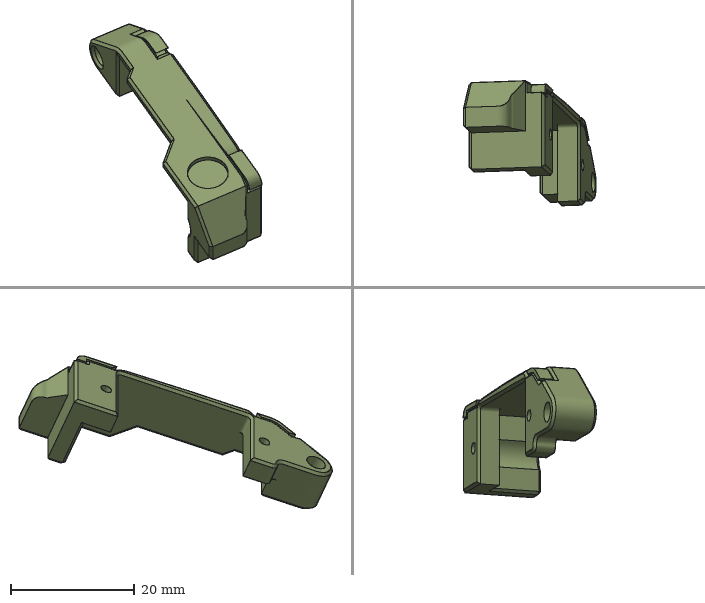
import cadquery as cq
import math

LENGTH = 50.0
DEPTH = 12.5
HEIGHT = 14.3
EDGE_CHAMFER = 0.45

PIVOT_RADIUS = 3.0
PIVOT_X = PIVOT_RADIUS
PIVOT_Z = 5.1
PIVOT_BORE = 3.2
ARM_END_X = 9.75
ARM_BOTTOM_Z = PIVOT_Z - PIVOT_RADIUS

BEND_RADIUS = 4.0
BEND_X = 11.1
BEND_Z = HEIGHT - BEND_RADIUS

PLATE_UNDERSIDE_Z = 12.6
ARM_FRONT_Y = 4.95
MIDDLE_FRONT_Y = 3.45
ARM_FRONT_END_X = 14.25
MIDDLE_FRONT_END_X = 30.6
DISC_RECESS_DIAMETER = 6.6
DISC_RECESS_DEPTH = 0.75
DISC_RECESS_Y = 5.25

BLOCK_START_X = 42.0
BLOCK_END_X = 45.0
LUG_BOTTOM_Z = 6.0
LUG_SLOPE_DROP = LENGTH - BLOCK_END_X
LUG_BACK_Y = 9.35
LUG_TIP_BACK_Y = 7.5
LUG_SLANT_END = (47.5, 7.85)
LUG_CORNER_RADIUS = 1.7

LEG_FRONT_Y = 8.8
LEFT_LEG_START_X = 9.55
LEFT_LEG_END_X = 14.3
RIGHT_LEG_START_X = 37.4
LEG_FOOT_RADIUS = ARM_BOTTOM_Z / 2
LEG_FILLET = 0.55
SCREW_HOLE_DIAMETER = 1.8
SCREW_Z = 6.3
LEFT_SCREW_X = 12.0
RIGHT_SCREW_X = 39.6
GROOVE_RADIUS = 3.3

RECESS_FRONT_Y = 9.65
RECESS_RIM_CHAMFER = 0.4
RECESS_DEPTH = 1.1
INSERT_FRONT_Y = 10.2
INSERT_SINK = 0.35
OVERCUT = 0.5
ARM_RECESS_START_X = 5.6
ARM_RECESS_END_X = 14.75
ARM_INSERT_START_X = 6.6
ARM_INSERT_END_X = 13.25
ARM_WALL_RUN = 1.3
ARM_WALL_BULGE = 0.1
END_RAMP_START_X = 24.55
END_RAMP_END_X = 35.85
END_RAMP_DROP = 0.3
END_WALL_RUN = 2.3
END_WALL_BULGE = 0.2
END_INSERT_START_X = 37.75
NOSE_START_X = 43.0
NOSE_RADIUS = 1.65
NOSE_DEPTH = INSERT_SINK + NOSE_RADIUS
LUG_BLEND_Y = 9.25

center_distance = math.hypot(BEND_X - PIVOT_X, BEND_Z - PIVOT_Z)
SLOPE = (math.atan2(BEND_Z - PIVOT_Z, BEND_X - PIVOT_X)
         + math.asin((BEND_RADIUS - PIVOT_RADIUS) / center_distance))
ALONG = (math.cos(SLOPE), math.sin(SLOPE))
OUTWARD = (-math.sin(SLOPE), math.cos(SLOPE))
TOLERANCE = 0.025


def on_circle(x, z, radius, angle):
    """Point of an XZ circle at an angle measured from +X."""
    return (x + radius * math.cos(angle), z + radius * math.sin(angle))


SLOPE_NORMAL = SLOPE + math.pi / 2
SLOPE_START = on_circle(PIVOT_X, PIVOT_Z, PIVOT_RADIUS, SLOPE_NORMAL)
SLOPE_END = on_circle(BEND_X, BEND_Z, BEND_RADIUS, SLOPE_NORMAL)
BEND_MIDDLE = on_circle(BEND_X, BEND_Z, BEND_RADIUS, (SLOPE_NORMAL + math.pi / 2) / 2)


def slope_point(x, depth):
    """Point below the sloping surface that has the given X on the offset line at that depth."""
    along = (x - SLOPE_START[0] + depth * OUTWARD[0]) / ALONG[0]
    return (
        SLOPE_START[0] + along * ALONG[0] - depth * OUTWARD[0],
        SLOPE_START[1] + along * ALONG[1] - depth * OUTWARD[1],
    )


def move_on_slope(point, along, outward):
    """Move an XZ point along the slope and away from the sloping surface."""
    return (
        point[0] + along * ALONG[0] + outward * OUTWARD[0],
        point[1] + along * ALONG[1] + outward * OUTWARD[1],
    )


def extrude_side(sketch, y_start, y_end):
    """Extrude a closed XZ outline from y_start to y_end."""
    return sketch.extrude(y_start - y_end).translate((0, y_start, 0))


def side_hole(x, z, diameter):
    """Cylinder along Y through the whole depth."""
    return extrude_side(cq.Workplane("XZ").center(x, z).circle(diameter / 2), 0, DEPTH)


def make_frame():
    """Arm, top plate, end block and lug as one side outline trimmed by the plan outline."""
    groove_half_height = math.sqrt(GROOVE_RADIUS**2 - (BLOCK_START_X - RIGHT_SCREW_X) ** 2)
    side = (
        cq.Workplane("XZ")
        .moveTo(PIVOT_X, ARM_BOTTOM_Z)
        .threePointArc((PIVOT_X - PIVOT_RADIUS, PIVOT_Z), SLOPE_START)
        .lineTo(*SLOPE_END)
        .threePointArc(BEND_MIDDLE, (BEND_X, HEIGHT))
        .lineTo(BLOCK_END_X, HEIGHT)
        .lineTo(LENGTH, HEIGHT - LUG_SLOPE_DROP)
        .lineTo(LENGTH, LUG_BOTTOM_Z)
        .lineTo(BLOCK_END_X, LUG_BOTTOM_Z)
        .lineTo(BLOCK_END_X, 0)
        .lineTo(BLOCK_START_X + EDGE_CHAMFER, 0)
        .lineTo(BLOCK_START_X, EDGE_CHAMFER)
        .lineTo(BLOCK_START_X, SCREW_Z - groove_half_height)
        .threePointArc(
            (RIGHT_SCREW_X + GROOVE_RADIUS, SCREW_Z),
            (BLOCK_START_X, SCREW_Z + groove_half_height),
        )
        .lineTo(BLOCK_START_X, PLATE_UNDERSIDE_Z)
        .lineTo(ARM_END_X, PLATE_UNDERSIDE_Z)
        .lineTo(ARM_END_X, ARM_BOTTOM_Z)
        .close()
    )
    arm_step = ARM_FRONT_Y - MIDDLE_FRONT_Y
    lug_corner_x = LENGTH - LUG_CORNER_RADIUS
    plan = (
        cq.Workplane("XY")
        .moveTo(0, ARM_FRONT_Y)
        .lineTo(ARM_FRONT_END_X, ARM_FRONT_Y)
        .lineTo(ARM_FRONT_END_X + arm_step, MIDDLE_FRONT_Y)
        .lineTo(MIDDLE_FRONT_END_X, MIDDLE_FRONT_Y)
        .lineTo(MIDDLE_FRONT_END_X + MIDDLE_FRONT_Y, 0)
        .lineTo(LENGTH, 0)
        .lineTo(LENGTH, LUG_TIP_BACK_Y - LUG_CORNER_RADIUS)
        .radiusArc((lug_corner_x, LUG_TIP_BACK_Y), -LUG_CORNER_RADIUS)
        .tangentArcPoint(LUG_SLANT_END, relative=False)
        .lineTo(BLOCK_END_X, LUG_BACK_Y)
        .lineTo(BLOCK_END_X, DEPTH)
        .lineTo(0, DEPTH)
        .close()
        .extrude(HEIGHT)
    )
    return extrude_side(side, 0, DEPTH).intersect(plan)


def make_left_leg():
    """Leg under the arm, with an S-curve from the arm's underside to the foot."""
    outline = (
        cq.Workplane("XZ")
        .moveTo(LEFT_LEG_START_X - LEG_FOOT_RADIUS, ARM_BOTTOM_Z)
        .radiusArc((LEFT_LEG_START_X, LEG_FOOT_RADIUS), LEG_FOOT_RADIUS)
        .radiusArc((LEFT_LEG_START_X + LEG_FOOT_RADIUS, 0), -LEG_FOOT_RADIUS)
        .lineTo(LEFT_LEG_END_X, 0)
        .lineTo(LEFT_LEG_END_X, PLATE_UNDERSIDE_Z)
        .lineTo(LEFT_LEG_START_X, PLATE_UNDERSIDE_Z)
        .lineTo(LEFT_LEG_START_X, ARM_BOTTOM_Z)
        .close()
    )
    return extrude_side(outline, LEG_FRONT_Y, DEPTH)


def make_right_leg():
    """Leg beside the end block, reaching into it far enough to close the groove at the back."""
    width = BLOCK_END_X - RIGHT_LEG_START_X - EDGE_CHAMFER
    leg = cq.Workplane("XY").box(width, DEPTH - LEG_FRONT_Y, PLATE_UNDERSIDE_Z, centered=False)
    return leg.translate((RIGHT_LEG_START_X, LEG_FRONT_Y, 0))


def fillet_leg_top(solid, x):
    """Round the inner corner between a leg and the top plate."""
    corner = cq.selectors.NearestToPointSelector((x, (LEG_FRONT_Y + DEPTH) / 2, PLATE_UNDERSIDE_Z))
    return solid.edges("|Y").edges(corner).fillet(LEG_FILLET)


def is_front_edge(edge):
    """True for the outline edges of the front faces, not for the plate's own upright corners."""
    box = edge.BoundingBox()
    upright_corner = box.xlen < TOLERANCE and box.zmax > HEIGHT - TOLERANCE
    return box.ymax < ARM_FRONT_Y + TOLERANCE and not upright_corner


def make_bracket():
    bracket = make_frame()
    bracket = bracket.newObject(list(filter(is_front_edge, bracket.edges().vals()))).chamfer(EDGE_CHAMFER)

    bracket = bracket.union(make_left_leg()).union(make_right_leg())
    for leg_x in (LEFT_LEG_END_X, RIGHT_LEG_START_X):
        bracket = fillet_leg_top(bracket, leg_x)

    bracket = bracket.cut(make_arm_pocket()).cut(make_end_pocket())
    bracket = bracket.faces(">Y").edges().chamfer(EDGE_CHAMFER)

    for screw_x in (LEFT_SCREW_X, RIGHT_SCREW_X):
        bracket = bracket.cut(side_hole(screw_x, SCREW_Z, SCREW_HOLE_DIAMETER))
    bracket = bracket.cut(side_hole(PIVOT_X, PIVOT_Z, PIVOT_BORE))
    bore_rim = cq.selectors.NearestToPointSelector((PIVOT_X, ARM_FRONT_Y, PIVOT_Z))
    bracket = bracket.edges("%CIRCLE").edges(bore_rim).chamfer(EDGE_CHAMFER)

    disc_recess = cq.Workplane("XY").circle(DISC_RECESS_DIAMETER / 2).extrude(DISC_RECESS_DEPTH)
    disc_recess = disc_recess.translate((RIGHT_SCREW_X, DISC_RECESS_Y, HEIGHT - DISC_RECESS_DEPTH))
    return bracket.cut(disc_recess)


def recess_section(bottom_depth):
    """Corners (Y, depth) of a recess whose upright front wall opens into a 45 degree rim."""
    wall_y = RECESS_FRONT_Y + RECESS_RIM_CHAMFER
    return [
        (RECESS_FRONT_Y - OVERCUT, -OVERCUT),
        (DEPTH, -OVERCUT),
        (DEPTH, bottom_depth),
        (wall_y, bottom_depth),
        (wall_y, RECESS_RIM_CHAMFER),
    ]


def insert_section(bottom_depth):
    """Corners (Y, depth) of an insert with an upright front."""
    return [
        (INSERT_FRONT_Y, INSERT_SINK),
        (DEPTH, INSERT_SINK),
        (DEPTH, bottom_depth),
        (INSERT_FRONT_Y, bottom_depth),
    ]


def arm_ribbon(section):
    """Sweep a cross-section down the flat top, around the bend and along the slope."""
    path = (
        cq.Workplane("XZ")
        .moveTo(ARM_RECESS_END_X + OVERCUT, HEIGHT)
        .lineTo(BEND_X, HEIGHT)
        .threePointArc(BEND_MIDDLE, SLOPE_END)
        .lineTo(*SLOPE_START)
    )
    corners = [(y, HEIGHT - depth) for y, depth in section]
    outline = cq.Workplane("YZ", origin=(ARM_RECESS_END_X + OVERCUT, 0, 0)).polyline(corners).close()
    return outline.sweep(path)


def end_ribbon(section, start_x):
    """Run a cross-section straight along the flat top to the end of the block."""
    corners = [(y, HEIGHT - depth) for y, depth in section]
    outline = cq.Workplane("YZ", origin=(start_x, 0, 0)).polyline(corners).close()
    return outline.extrude(LENGTH - start_x)


def wall_middle(start, end, bulge):
    """Middle point of a gently rounded recess wall, bulging up from its chord."""
    return ((start[0] + end[0]) / 2, (start[1] + end[1]) / 2 + bulge)


def make_arm_pocket():
    rim = slope_point(ARM_RECESS_START_X, 0)
    wall_top = (ARM_RECESS_END_X, HEIGHT)
    wall_foot = (ARM_RECESS_END_X - ARM_WALL_RUN, HEIGHT - RECESS_DEPTH)
    ends = (
        cq.Workplane("XZ")
        .moveTo(*move_on_slope(rim, RECESS_DEPTH, -RECESS_DEPTH))
        .lineTo(*move_on_slope(rim, -OVERCUT, OVERCUT))
        .lineTo(rim[0], HEIGHT + OVERCUT)
        .lineTo(ARM_RECESS_END_X, HEIGHT + OVERCUT)
        .lineTo(*wall_top)
        .threePointArc(wall_middle(wall_top, wall_foot, ARM_WALL_BULGE), wall_foot)
        .close()
    )
    ribbon = arm_ribbon(recess_section(RECESS_DEPTH))
    return ribbon.intersect(extrude_side(ends, 0, DEPTH))


def make_end_pocket():
    ramp_foot = (END_RAMP_END_X, HEIGHT - END_RAMP_DROP)
    wall_foot = (END_RAMP_END_X + END_WALL_RUN, HEIGHT - RECESS_DEPTH)
    ends = (
        cq.Workplane("XZ")
        .moveTo(END_RAMP_START_X, HEIGHT)
        .lineTo(*ramp_foot)
        .threePointArc(wall_middle(ramp_foot, wall_foot, END_WALL_BULGE), wall_foot)
        .lineTo(NOSE_START_X, HEIGHT - RECESS_DEPTH)
        .lineTo(NOSE_START_X, HEIGHT - NOSE_DEPTH)
        .lineTo(BLOCK_END_X, HEIGHT - NOSE_DEPTH)
        .lineTo(BLOCK_END_X, HEIGHT + OVERCUT)
        .lineTo(END_RAMP_START_X, HEIGHT + OVERCUT)
        .close()
    )
    section = recess_section(NOSE_DEPTH)
    blend_angle = math.degrees(math.atan2(RECESS_FRONT_Y - LUG_BLEND_Y, BLOCK_END_X - NOSE_START_X))
    blend_start = (NOSE_START_X, RECESS_FRONT_Y, 0)
    lug_blend = end_ribbon(section, NOSE_START_X).rotate(
        blend_start, (NOSE_START_X, RECESS_FRONT_Y, HEIGHT), -blend_angle
    )
    ribbon = end_ribbon(section, END_RAMP_START_X).union(lug_blend)
    return ribbon.intersect(extrude_side(ends, 0, DEPTH))


INSERT_HEIGHT = RECESS_DEPTH - INSERT_SINK


def make_arm_insert():
    tip = slope_point(ARM_INSERT_START_X, INSERT_SINK)
    top_z = HEIGHT - INSERT_SINK
    ends = (
        cq.Workplane("XZ")
        .moveTo(*move_on_slope(tip, INSERT_HEIGHT, -INSERT_HEIGHT))
        .lineTo(*tip)
        .lineTo(tip[0], top_z)
        .lineTo(ARM_INSERT_END_X, top_z)
        .lineTo(ARM_INSERT_END_X - INSERT_HEIGHT, HEIGHT - RECESS_DEPTH)
        .close()
    )
    ribbon = arm_ribbon(insert_section(RECESS_DEPTH))
    return ribbon.intersect(extrude_side(ends, 0, DEPTH))


def make_end_insert():
    top_z = HEIGHT - INSERT_SINK
    floor_z = HEIGHT - RECESS_DEPTH
    ends = (
        cq.Workplane("XZ")
        .moveTo(END_INSERT_START_X, top_z)
        .lineTo(NOSE_START_X, top_z)
        .radiusArc((NOSE_START_X + NOSE_RADIUS, HEIGHT - NOSE_DEPTH), NOSE_RADIUS)
        .lineTo(NOSE_START_X, HEIGHT - NOSE_DEPTH)
        .lineTo(NOSE_START_X, floor_z)
        .lineTo(END_INSERT_START_X + INSERT_HEIGHT, floor_z)
        .close()
    )
    ribbon = end_ribbon(insert_section(NOSE_DEPTH), END_INSERT_START_X)
    return ribbon.intersect(extrude_side(ends, 0, DEPTH))


bracket = make_bracket()
arm_insert = make_arm_insert()
end_insert = make_end_insert()

result = cq.Compound.makeCompound([body.solids().val() for body in (bracket, arm_insert, end_insert)])